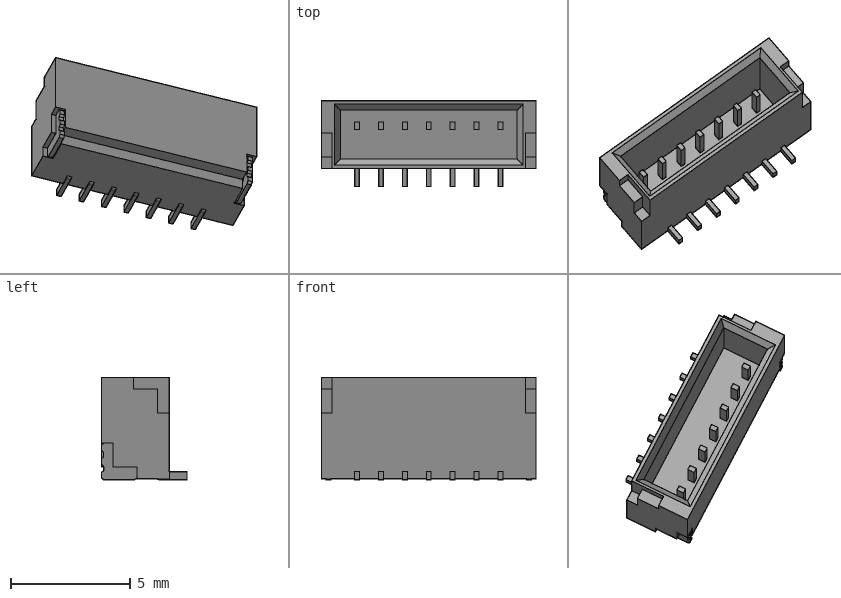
import cadquery as cq

HOUSING_LENGTH = 9.0
HOUSING_DEPTH = 2.85
TOP_Z = 4.3
STANDOFF = 0.05

CAVITY_LENGTH = 7.4
CAVITY_WIDTH = 2.05
CAVITY_FLOOR_Z = 1.0
RIM_BEVEL = 0.25

STEP_SHORT = 0.5
STEP_LONG = 1.5
RECESS_DEPTH = 0.45

PIN_COUNT = 7
PIN_PITCH = 1.0
PIN_WIDTH = 0.2
TAIL_THICKNESS = 0.35
TAIL_PROTRUSION = 0.75
TAIL_INSIDE = 0.63
TAIL_BEND_RADIUS = 0.25
POST_THICKNESS = 0.3
POST_CENTER_FROM_BACK = 1.05
POST_TOP_Z = 2.55

TAB_THICKNESS = 0.2
TAB_INSET = 0.2
TAB_CHAMFER = 0.1
SERRATION_COUNT = 3
SERRATION_PITCH = 0.57
FIRST_SERRATION_Z = 0.49
SERRATION_MOUTH = 0.35
SERRATION_ROOT = 0.19
SERRATION_DEPTH = 0.1

END_X = HOUSING_LENGTH / 2
FRONT_Y = -HOUSING_DEPTH / 2
BACK_Y = HOUSING_DEPTH / 2
BOTTOM_Z = STANDOFF
TAB_TOP_Z = BOTTOM_Z + STEP_LONG
OVERLAP = 0.1


def box(x_min, x_max, y_min, y_max, z_min, z_max):
    """Axis-aligned box given by its limits."""
    size = (x_max - x_min, y_max - y_min, z_max - z_min)
    return cq.Workplane("XY").box(*size, centered=False).translate((x_min, y_min, z_min))


def extrude_yz(points, x_min, thickness):
    """Prism with a polygonal Y-Z section, running along +X from x_min."""
    return cq.Workplane("YZ", origin=(x_min, 0, 0)).polyline(points).close().extrude(thickness)


def on_both_ends(left_end):
    """The given left-end shape together with its mirror image on the right end."""
    return left_end.union(left_end.mirror("YZ"))


def upper_recess():
    """L-shaped recess at the top front corner of the left end wall."""
    outline = [
        (FRONT_Y, TOP_Z),
        (FRONT_Y + STEP_LONG, TOP_Z),
        (FRONT_Y + STEP_LONG, TOP_Z - STEP_SHORT),
        (FRONT_Y + STEP_SHORT, TOP_Z - STEP_SHORT),
        (FRONT_Y + STEP_SHORT, TOP_Z - STEP_LONG),
        (FRONT_Y, TOP_Z - STEP_LONG),
    ]
    return extrude_yz(outline, -END_X, RECESS_DEPTH)


def lower_recess():
    """L-shaped recess at the bottom back corner of the left end wall."""
    outline = [
        (BACK_Y, BOTTOM_Z),
        (BACK_Y - STEP_LONG, BOTTOM_Z),
        (BACK_Y - STEP_LONG, BOTTOM_Z + STEP_SHORT),
        (BACK_Y - STEP_SHORT, BOTTOM_Z + STEP_SHORT),
        (BACK_Y - STEP_SHORT, TAB_TOP_Z),
        (BACK_Y, TAB_TOP_Z),
    ]
    return extrude_yz(outline, -END_X, RECESS_DEPTH)


def bevelled_cavity():
    """Rectangular cavity that widens at 45 degrees towards its rim."""
    cavity = box(-CAVITY_LENGTH / 2, CAVITY_LENGTH / 2, -CAVITY_WIDTH / 2, CAVITY_WIDTH / 2,
                 CAVITY_FLOOR_Z, TOP_Z)
    rim = (
        cq.Workplane("XY", origin=(0, 0, TOP_Z))
        .rect(CAVITY_LENGTH + 2 * RIM_BEVEL, CAVITY_WIDTH + 2 * RIM_BEVEL)
        .workplane(offset=-RIM_BEVEL)
        .rect(CAVITY_LENGTH, CAVITY_WIDTH)
        .loft(ruled=True)
    )
    return cavity.union(rim)


def housing():
    """Shrouded body with its cavity, end recesses and back bottom relief."""
    body = box(-END_X, END_X, FRONT_Y, BACK_Y, BOTTOM_Z, TOP_Z)
    back_relief = box(-END_X, END_X, BACK_Y - STEP_SHORT, BACK_Y, BOTTOM_Z, BOTTOM_Z + STEP_SHORT)
    return (
        body.cut(bevelled_cavity())
        .cut(back_relief)
        .cut(on_both_ends(upper_recess()))
        .cut(on_both_ends(lower_recess()))
    )


def contact(x_center):
    """Solder tail leaving the housing front and the post standing in the cavity."""
    x_min = x_center - PIN_WIDTH / 2
    x_max = x_center + PIN_WIDTH / 2
    tail = box(x_min, x_max, FRONT_Y - TAIL_PROTRUSION, FRONT_Y + TAIL_INSIDE, 0, TAIL_THICKNESS)
    tail = tail.edges("|X and >Y and <Z").fillet(TAIL_BEND_RADIUS)
    post_y = BACK_Y - POST_CENTER_FROM_BACK
    post = box(x_min, x_max, post_y - POST_THICKNESS / 2, post_y + POST_THICKNESS / 2,
               CAVITY_FLOOR_Z - OVERLAP, POST_TOP_Z)
    return tail.union(post)


def serration(z_center):
    """Tapered groove across the back edge of the left solder tab."""
    outline = [
        (BACK_Y, z_center - SERRATION_MOUTH / 2),
        (BACK_Y - SERRATION_DEPTH, z_center - SERRATION_ROOT / 2),
        (BACK_Y - SERRATION_DEPTH, z_center + SERRATION_ROOT / 2),
        (BACK_Y, z_center + SERRATION_MOUTH / 2),
    ]
    return extrude_yz(outline, -END_X + TAB_INSET, TAB_THICKNESS)


def solder_tab():
    """L-shaped plate in the left lower recess, reaching down to the solder plane."""
    outline = [
        (BACK_Y, TAB_CHAMFER),
        (BACK_Y - TAB_CHAMFER, 0),
        (BACK_Y - STEP_LONG + TAB_CHAMFER, 0),
        (BACK_Y - STEP_LONG, TAB_CHAMFER),
        (BACK_Y - STEP_LONG, BOTTOM_Z + STEP_SHORT),
        (BACK_Y - STEP_SHORT, BOTTOM_Z + STEP_SHORT),
        (BACK_Y - STEP_SHORT, TAB_TOP_Z),
        (BACK_Y, TAB_TOP_Z),
    ]
    tab = extrude_yz(outline, -END_X + TAB_INSET, TAB_THICKNESS)
    for index in range(SERRATION_COUNT):
        tab = tab.cut(serration(FIRST_SERRATION_Z + index * SERRATION_PITCH))
    return tab


result = housing().union(on_both_ends(solder_tab()))
for index in range(PIN_COUNT):
    result = result.union(contact((index - (PIN_COUNT - 1) / 2) * PIN_PITCH))